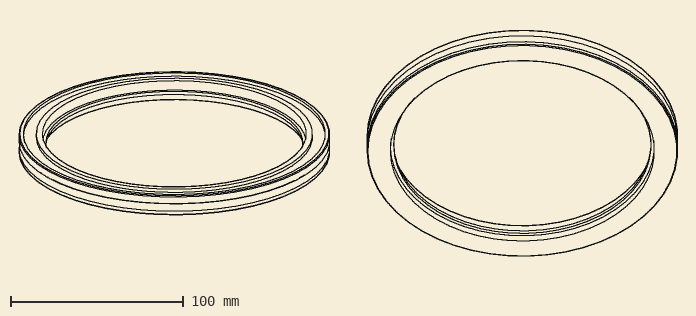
import cadquery as cq

outer_radius = 90.0
height = 12.0
edge_chamfer = 0.5

channel_outer_radius = 175.0 / 2
channel_inner_radius = 160.0 / 2
channel_depth = 2.0

upper_seat_radius = 152.8 / 2
lower_seat_radius = 153.0 / 2
rib_radius = 149.0 / 2
upper_seat_depth = 6.0
lower_seat_depth = 4.1

groove_radius = 2.3
groove_center_height = 4.9


def ring(ring_outer_radius, ring_inner_radius, bottom, thickness):
    """Flat ring about the Z axis, starting at height bottom."""
    return (
        cq.Workplane("XY")
        .workplane(offset=bottom)
        .circle(ring_outer_radius)
        .circle(ring_inner_radius)
        .extrude(thickness)
    )


def chamfered_blank():
    """Ring at the rib bore, with both outer rim edges chamfered."""
    disc = cq.Workplane("XY").circle(outer_radius).extrude(height)
    rib_bore = cq.Workplane("XY").circle(rib_radius).extrude(height)
    return disc.edges().chamfer(edge_chamfer).cut(rib_bore)


def outer_groove():
    """Torus whose inner half cuts the half-round groove."""
    return (
        cq.Workplane("XZ")
        .center(outer_radius, groove_center_height)
        .circle(groove_radius)
        .revolve(360, (-outer_radius, 0), (-outer_radius, 1))
    )


channel = ring(channel_outer_radius, channel_inner_radius, height - channel_depth, channel_depth)
upper_seat = ring(upper_seat_radius, rib_radius, height - upper_seat_depth, upper_seat_depth)
lower_seat = ring(lower_seat_radius, rib_radius, 0, lower_seat_depth)

result = chamfered_blank().cut(channel).cut(upper_seat).cut(lower_seat).cut(outer_groove())